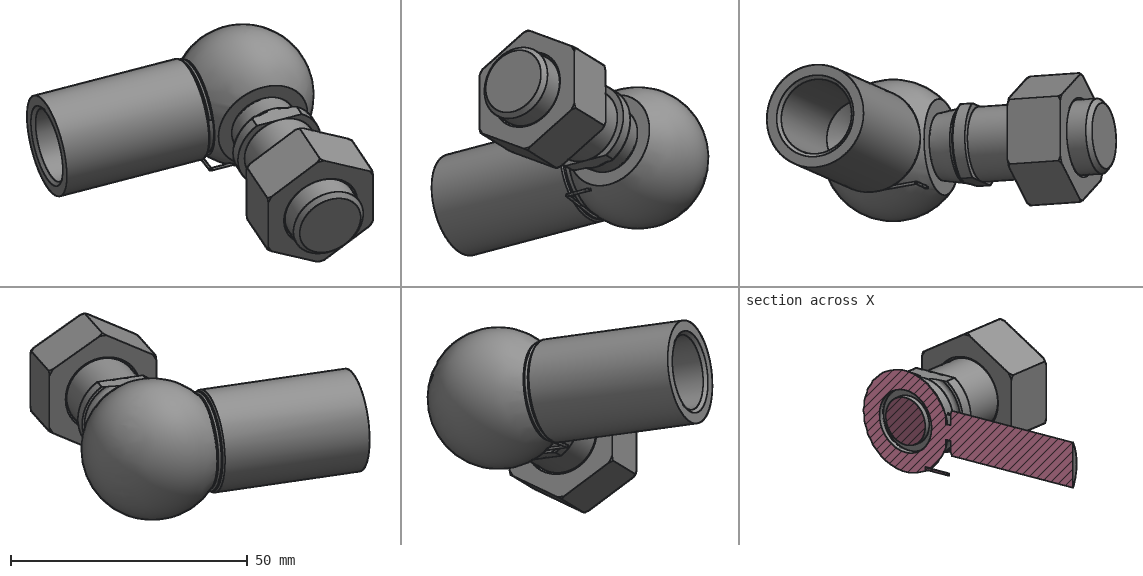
import cadquery as cq
import math


overall_length = 62.9
overall_depth = 59.85
head_diameter = 30.0
head_radius = head_diameter / 2
shank_diameter = 22.0
shank_radius = shank_diameter / 2
shank_end = head_radius - overall_depth
shank_start = -12.0
shank_shoulder_chamfer = 0.4
neck_diameter = 19.8
bore_diameter = 16.0
bore_radius = bore_diameter / 2
bore_chamfer = 0.75
bore_apex = -13.2
bore_tip_angle = 118.0
head_face = shank_radius
socket_mouth_radius = 6.9

wire_diameter = 0.6
wire_radius = wire_diameter / 2
clip_ring_radius = 20.8 / 2
clip_plane = -11.45
clip_free_end_angle = 22.0
clip_leg_angle = -84.0
clip_leg_length = 8.7
clip_hole_diameter = 0.7
clip_hole_end = -5.35

ball_radius = 9.5
neck_radius = 5.35
thread_diameter = 16.0
thread_radius = thread_diameter / 2
thread_chamfer = 1.0
stud_end = overall_length - head_radius
collar_radius = 9.5
collar_start = 16.0
collar_end = 20.0
collar_fillet = 0.95
collar_edge_chamfer = 0.4

seal_small_radius = 7.15
nut_across_flats = 24.0
nut_start = 30.7
nut_thickness = 12.0
nut_corner_radius = nut_across_flats / math.sqrt(3)
nut_chamfer = 0.45

leg_angle = math.radians(clip_leg_angle)
leg_start_x = clip_ring_radius * math.cos(leg_angle)
leg_start_z = clip_ring_radius * math.sin(leg_angle)
leg_end_x = leg_start_x - clip_leg_length * math.sin(leg_angle)
leg_end_z = leg_start_z + clip_leg_length * math.cos(leg_angle)


def revolve_about_x(profile):
    return profile.close().revolve(360, (0, 0, 0), (1, 0, 0))


def cylinder_along_y(radius, start, end, x=0, z=0):
    return cq.Workplane("XY").add(
        cq.Solid.makeCylinder(radius, end - start, cq.Vector(x, start, z), cq.Vector(0, 1, 0))
    )


def make_housing():
    trim_size = 2 * head_diameter
    groove_start = -math.sqrt(head_radius**2 - clip_ring_radius**2)
    keep = cq.Workplane("XY").box(trim_size, trim_size, trim_size).translate(
        (head_face - trim_size / 2, groove_start + trim_size / 2, 0)
    )
    head = cq.Workplane("XY").sphere(head_radius).intersect(keep)

    neck = cylinder_along_y(neck_diameter / 2, shank_start, groove_start)
    shank = (
        cylinder_along_y(shank_radius, shank_end, shank_start)
        .faces(">Y")
        .chamfer(shank_shoulder_chamfer)
    )
    tip_length = bore_radius / math.tan(math.radians(bore_tip_angle / 2))
    bore = (
        cq.Workplane("XY")
        .moveTo(0, shank_end)
        .lineTo(bore_radius + bore_chamfer, shank_end)
        .lineTo(bore_radius, shank_end + bore_chamfer)
        .lineTo(bore_radius, bore_apex - tip_length)
        .lineTo(0, bore_apex)
        .close()
        .revolve(360, (0, 0, 0), (0, 1, 0))
    )

    socket = cq.Workplane("XY").sphere(ball_radius)
    mouth = cq.Workplane("YZ").circle(socket_mouth_radius).extrude(head_face)
    clip_hole = cylinder_along_y(
        clip_hole_diameter / 2, clip_plane, clip_hole_end, leg_end_x, leg_end_z
    )
    body = head.union(neck).union(shank)
    return body.cut(bore).cut(socket).cut(mouth).cut(clip_hole)


def make_clip():
    free_angle = math.radians(clip_free_end_angle)
    free_end = cq.Vector(
        clip_ring_radius * math.cos(free_angle), clip_plane, clip_ring_radius * math.sin(free_angle)
    )
    ring_far_side = cq.Vector(-clip_ring_radius, clip_plane, 0)
    leg_start = cq.Vector(leg_start_x, clip_plane, leg_start_z)
    leg_end = cq.Vector(leg_end_x, clip_plane, leg_end_z)
    hook_end = cq.Vector(leg_end_x, clip_hole_end, leg_end_z)
    path = cq.Wire.assembleEdges(
        [
            cq.Edge.makeThreePointArc(free_end, ring_far_side, leg_start),
            cq.Edge.makeLine(leg_start, leg_end),
            cq.Edge.makeLine(leg_end, hook_end),
        ]
    )
    ring_tangent = cq.Vector(-math.sin(free_angle), 0, math.cos(free_angle))
    section = cq.Workplane(cq.Plane(free_end, cq.Vector(0, 1, 0), ring_tangent))
    return section.circle(wire_radius).sweep(path, transition="round")


def make_stud():
    fillet_end = collar_start + collar_fillet
    fillet_middle = (
        collar_start + collar_fillet * math.sin(math.pi / 4),
        thread_radius + collar_fillet * (1 - math.cos(math.pi / 4)),
    )
    shaft = revolve_about_x(
        cq.Workplane("XY")
        .lineTo(0, neck_radius)
        .lineTo(collar_start, neck_radius)
        .lineTo(collar_start, thread_radius)
        .threePointArc(fillet_middle, (fillet_end, thread_radius + collar_fillet))
        .lineTo(fillet_end, collar_radius - collar_edge_chamfer)
        .lineTo(fillet_end + collar_edge_chamfer, collar_radius)
        .lineTo(collar_end, collar_radius)
        .lineTo(collar_end, thread_radius)
        .lineTo(stud_end - thread_chamfer, thread_radius)
        .lineTo(stud_end, thread_radius - thread_chamfer)
        .lineTo(stud_end, 0)
    )

    flats = cq.Workplane("XY").box(
        stud_end, 2 * collar_radius, thread_diameter, centered=(False, True, True)
    )
    ball = cq.Workplane("XY").sphere(ball_radius)
    return shaft.intersect(flats).union(ball)


def make_seal():
    return revolve_about_x(
        cq.Workplane("XY")
        .moveTo(head_face, neck_radius)
        .lineTo(head_face, seal_small_radius)
        .lineTo(collar_start, thread_radius)
        .lineTo(collar_start, neck_radius)
    )


def make_nut():
    hexagon = (
        cq.Workplane("YZ", origin=(nut_start, 0, 0))
        .polygon(6, 2 * nut_corner_radius)
        .extrude(nut_thickness)
        .rotate((0, 0, 0), (1, 0, 0), 90)
    )
    blank = (
        cq.Workplane("YZ", origin=(nut_start, 0, 0))
        .circle(nut_corner_radius)
        .circle(thread_radius)
        .extrude(nut_thickness)
        .edges("%CIRCLE")
        .chamfer(nut_chamfer)
    )
    return hexagon.intersect(blank)


housing = make_housing()
clip = make_clip()
stud = make_stud()
seal = make_seal()
nut = make_nut()

result = cq.Compound.makeCompound(
    [body.solids().val() for body in (housing, clip, stud, seal, nut)]
)